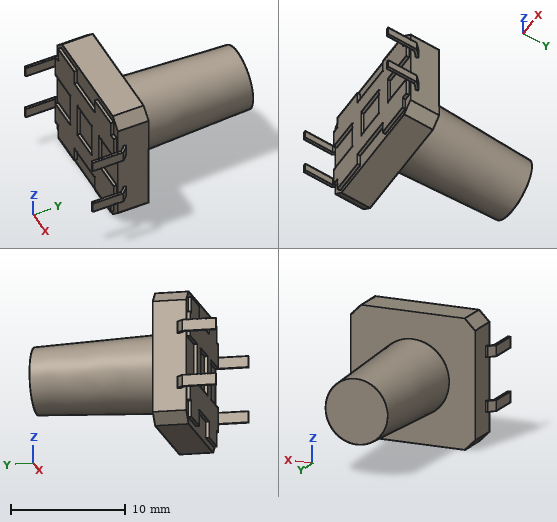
import cadquery as cq
import math

housing_width = 12.0
housing_depth = 3.0
corner_chamfer = 1.0

button_base_diameter = 7.0
button_tip_diameter = 6.0
button_length = 11.7

plate_thickness = 0.3
plate_width = 11.55
plate_height = 7.95
tab_outer_span = 10.4
tab_inner_span = 4.0
tab_tip_height = 10.85
side_notch_spacing = 5.6
window_width = 2.85
window_height = 3.55

lead_thickness = 0.25
lead_width = 1.0
lead_span = 13.45
lead_pitch = 5.0
lead_tip_drop = 2.8
lead_top = 0.75
lead_bend_run = 0.57
bend_angle = 45.0

button_plane = cq.Plane(origin=(0, housing_depth, 0), xDir=(0, 0, 1), normal=(0, 1, 0))


def make_housing():
    block = cq.Workplane("XZ").rect(housing_width, housing_width).extrude(-housing_depth)
    return block.edges("|Y").chamfer(corner_chamfer)


def make_button():
    return (
        cq.Workplane(button_plane)
        .circle(button_base_diameter / 2)
        .workplane(offset=button_length)
        .circle(button_tip_diameter / 2)
        .loft(ruled=True)
    )


def plate_block(center_x, width, height):
    """Block of plate thickness below the housing, centred on Z = 0."""
    return cq.Workplane("XZ").center(center_x, 0).rect(width, height).extrude(plate_thickness)


def make_plate():
    plate = plate_block(0, plate_width, plate_height)
    tab_width = (tab_outer_span - tab_inner_span) / 2
    tab_center = (tab_outer_span + tab_inner_span) / 4
    notch_depth = (plate_width - side_notch_spacing) / 2
    notch_center = (plate_width + side_notch_spacing) / 4
    for side in (-1, 1):
        plate = plate.union(plate_block(side * tab_center, tab_width, tab_tip_height))
        plate = plate.cut(plate_block(side * notch_center, notch_depth, window_height))
    return plate.cut(plate_block(0, window_width, window_height))


def make_lead(center_z):
    """Lead on the +X side, its strip width centred on center_z."""
    outer_x = lead_span / 2
    inner_x = outer_x - lead_thickness
    lead_underside = lead_top - lead_thickness
    bend_shift = lead_thickness * math.tan(math.radians(bend_angle / 2))
    lead_bend_drop = lead_bend_run * math.tan(math.radians(bend_angle))
    outer_bend_x = outer_x - lead_bend_run
    outer_bend_y = lead_top - lead_bend_drop
    profile = [
        (housing_width / 2, lead_top),
        (outer_bend_x, lead_top),
        (outer_x, outer_bend_y),
        (outer_x, -lead_tip_drop),
        (inner_x, -lead_tip_drop),
        (inner_x, outer_bend_y - bend_shift),
        (outer_bend_x - bend_shift, lead_underside),
        (housing_width / 2, lead_underside),
    ]
    lead = cq.Workplane("XY").polyline(profile).close().extrude(lead_width / 2, both=True)
    return lead.translate((0, 0, center_z))


result = make_housing().union(make_button()).union(make_plate())
for center_z in (-lead_pitch / 2, lead_pitch / 2):
    right_lead = make_lead(center_z)
    result = result.union(right_lead).union(right_lead.mirror("YZ"))